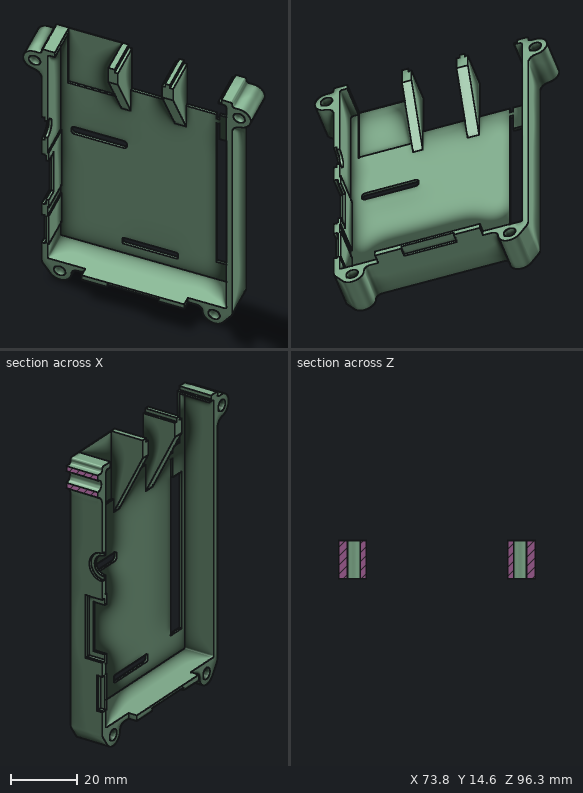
import cadquery as cq
import math


body_height = 90.5
body_depth = 11.55
half_width = 30.9
wall = 1.9
floor_thickness = 1.0
floor_front = body_depth - floor_thickness
inner_half_width = half_width - wall
cavity_top = body_height - wall
cavity_top_radius = 1.0
cavity_bottom_radius = 0.5

overall_width = 73.8
lug_radius = 3.8
screw_hole_diameter = 3.8
top_lug_x = overall_width / 2 - lug_radius
top_lug_drop = 5.7
top_lug_z = body_height - top_lug_drop
top_lug_lower_blend = 3.1
top_lug_upper_blend = 1.0
body_corner_radius = 0.7
bottom_lug_x = 25.0
bottom_lug_z = -2.0
bottom_lug_flank_angle = -35.0
flank_blend = 2.5

bay_left = -26.6
bay_right = -9.2
bay_bottom = 67.8
bay_skin = 0.2
left_rib_right = -6.2
right_rib_left = 8.1
right_rib_right = 11.7
gap_right = 26.4
gap_bottom = 72.2
rib_front_bottom = 84.4
rib_root_bottom = 63.3
lip_width = 1.1
lip_drop = 1.25

slot_length = 18.0
upper_slot_centre = (-16.5, 48.1)
upper_slot_width = 3.0
upper_slot_radius = 1.2
lower_slot_centre = (0.1, 7.0)
lower_slot_width = 2.5
lower_slot_radius = 0.6
window_left = 21.5
window_right = 27.3
window_bottom = 9.2
window_top = 62.0
relief_width = 1.1
relief_top = 68.4
relief_notch_bottom = 70.4

left_outside = -half_width
recess_depth = 1.0
pad_thickness = 0.4
bevel = 0.5
jack_z = 56.7
jack_recess_radius = 4.7
jack_hole_radius = 3.5
video_recess = (24.5, 45.7, 6.2)
video_hole = (26.8, 43.4, 4.2)
video_pad = (23.5, 47.0)
power_recess = (7.9, 19.8, 2.0)
power_pad = (7.9, 19.9)

tab_left = -16.7
tab_right = 16.6
tab_height = 3.0
tab_notch_left = -8.5
tab_notch_right = 8.3
tab_notch_depth = 1.0


def front_plane(y_back):
    """Sketch plane at y_back; local coordinates are X and Z, extrusion runs toward -Y."""
    return cq.Workplane("XZ", origin=(0, y_back, 0))


def block(x_range, y_range, z_range):
    """Box spanning the given (low, high) ranges."""
    low = (x_range[0], y_range[0], z_range[0])
    size = [r[1] - r[0] for r in (x_range, y_range, z_range)]
    return cq.Workplane("XY").box(*size, centered=False).translate(low)


def on_circle(centre, radius, degrees):
    angle = math.radians(degrees)
    return (centre[0] + radius * math.cos(angle), centre[1] + radius * math.sin(angle))


def body_with_lugs():
    """Full-depth body: the right half of the outline is drawn and mirrored about X = 0."""
    low = (bottom_lug_x, bottom_lug_z)
    high = (top_lug_x, top_lug_z)

    foot_radius = -bottom_lug_z
    foot_centre = (bottom_lug_x - lug_radius - foot_radius, bottom_lug_z)

    flank = math.radians(bottom_lug_flank_angle)
    blend_x = half_width - flank_blend
    across = (blend_x - bottom_lug_x) * math.cos(flank)
    blend_z = bottom_lug_z + (lug_radius - flank_blend - across) / math.sin(flank)
    blend_centre = (blend_x, blend_z)

    hollow_x = half_width + top_lug_lower_blend
    reach = lug_radius + top_lug_lower_blend
    hollow_z = top_lug_z - math.sqrt(reach**2 - (hollow_x - top_lug_x) ** 2)
    hollow_centre = (hollow_x, hollow_z)
    hollow_end = math.degrees(math.atan2(top_lug_z - hollow_z, top_lug_x - hollow_x))

    shoulder_z = top_lug_z + lug_radius
    shoulder_centre = (half_width + top_lug_upper_blend, shoulder_z + top_lug_upper_blend)
    corner_centre = (half_width - body_corner_radius, body_height - body_corner_radius)

    outline = (
        front_plane(body_depth)
        .moveTo(0, 0)
        .lineTo(foot_centre[0], 0)
        .threePointArc(on_circle(foot_centre, foot_radius, 45), on_circle(foot_centre, foot_radius, 0))
        .threePointArc(on_circle(low, lug_radius, -90), on_circle(low, lug_radius, bottom_lug_flank_angle))
        .lineTo(*on_circle(blend_centre, flank_blend, bottom_lug_flank_angle))
        .threePointArc(
            on_circle(blend_centre, flank_blend, bottom_lug_flank_angle / 2),
            on_circle(blend_centre, flank_blend, 0),
        )
        .lineTo(half_width, hollow_z)
        .threePointArc(
            on_circle(hollow_centre, top_lug_lower_blend, (180 + hollow_end) / 2),
            on_circle(hollow_centre, top_lug_lower_blend, hollow_end),
        )
        .threePointArc(on_circle(high, lug_radius, 0), on_circle(high, lug_radius, 90))
        .lineTo(shoulder_centre[0], shoulder_z)
        .threePointArc(
            on_circle(shoulder_centre, top_lug_upper_blend, 225),
            on_circle(shoulder_centre, top_lug_upper_blend, 180),
        )
        .lineTo(half_width, corner_centre[1])
        .threePointArc(
            on_circle(corner_centre, body_corner_radius, 45),
            on_circle(corner_centre, body_corner_radius, 90),
        )
        .lineTo(0, body_height)
        .mirrorY()
    )
    return outline.extrude(body_depth)


def screw_holes():
    centres = [
        (side * x, z) for side in (-1, 1) for x, z in ((top_lug_x, top_lug_z), (bottom_lug_x, bottom_lug_z))
    ]
    return front_plane(body_depth).pushPoints(centres).circle(screw_hole_diameter / 2).extrude(body_depth)


def cavity():
    x_range = (-inner_half_width, inner_half_width)
    pocket = block(x_range, (0, floor_front), (wall, cavity_top))
    pocket = pocket.edges("|Y and >Z").fillet(cavity_top_radius)
    return pocket.edges("|Y and <Z").fillet(cavity_bottom_radius)


def connector_gap():
    """Opens the top wall, thins the floor of the bay and removes the floor beside it."""
    top_opening = block((bay_left, gap_right), (0, floor_front), (gap_bottom, body_height))
    bay = block((bay_left, bay_right), (0, body_depth - bay_skin), (bay_bottom, body_height))
    floor_gap = block((left_rib_right, gap_right), (0, body_depth), (gap_bottom, body_height))
    return top_opening.union(bay).union(floor_gap)


def rib(left, right):
    """Upright rib whose front edge slopes back to the floor."""
    profile = [
        (0, body_height),
        (0, rib_front_bottom),
        (floor_front, rib_root_bottom),
        (body_depth, rib_root_bottom),
        (body_depth, body_height),
    ]
    return cq.Workplane("YZ", origin=(left, 0, 0)).polyline(profile).close().extrude(right - left)


def lip_steps():
    """Steps along the top edges that face the two open connector gaps."""
    steps = cq.Workplane("XY")
    for left in (left_rib_right - lip_width, right_rib_left, right_rib_right - lip_width, gap_right):
        step = block((left, left + lip_width), (0, body_depth), (body_height - lip_drop, body_height))
        steps = steps.add(step)
    return steps.combine()


def rounded_slot(centre, width, corner_radius):
    slot = front_plane(body_depth).center(*centre).rect(slot_length, width).extrude(floor_thickness)
    return slot.edges("|Y").fillet(corner_radius)


def floor_slots():
    """Two rounded slots, the long window and the narrow slits in line with its left edge."""
    upper = rounded_slot(upper_slot_centre, upper_slot_width, upper_slot_radius)
    lower = rounded_slot(lower_slot_centre, lower_slot_width, lower_slot_radius)
    floor = (floor_front, body_depth)
    relief = (window_left, window_left + relief_width)
    window = block((window_left, window_right), floor, (window_bottom, window_top))
    relief_slit = block(relief, floor, (window_bottom, relief_top))
    relief_notch = block(relief, floor, (relief_notch_bottom, gap_bottom))
    return upper.union(lower).union(window).union(relief_slit).union(relief_notch)


def wall_pads():
    """Thicker stretches on the inside of the left wall, behind the two sockets."""
    x_range = (-inner_half_width, -inner_half_width + pad_thickness)
    return block(x_range, (0, floor_front), video_pad).union(block(x_range, (0, floor_front), power_pad))


def socket_recess(z_low, z_high, depth_from_rim):
    """Rectangular pocket in the left wall, open at the rim, with a bevelled bottom."""
    straight = block((left_outside, left_outside + recess_depth), (0, depth_from_rim), (z_low, z_high))
    bevelled = (
        cq.Workplane("YZ", origin=(left_outside + recess_depth, 0, 0))
        .center(0, (z_low + z_high) / 2)
        .rect(2 * depth_from_rim, z_high - z_low)
        .workplane(offset=bevel)
        .rect(2 * (depth_from_rim - bevel), z_high - z_low - 2 * bevel)
        .loft()
    )
    return straight.union(bevelled)


def wall_openings():
    """Half-round jack hole, video socket opening and power socket recess."""
    through = wall + pad_thickness
    jack = cq.Workplane("YZ", origin=(left_outside, 0, jack_z))
    jack_recess = jack.circle(jack_recess_radius).extrude(recess_depth)
    jack_hole = jack.circle(jack_hole_radius).extrude(wall)
    z_low, z_high, depth = video_hole
    video_through = block((left_outside, left_outside + through), (0, depth), (z_low, z_high))
    return (
        jack_recess.union(jack_hole)
        .union(socket_recess(*video_recess))
        .union(video_through)
        .union(socket_recess(*power_recess))
    )


def locating_tab():
    tab = block((tab_left, tab_right), (-tab_height, 0), (0, wall))
    notch = block((tab_notch_left, tab_notch_right), (-tab_height, 0), (0, tab_notch_depth))
    return tab.cut(notch)


result = (
    body_with_lugs()
    .cut(screw_holes())
    .cut(cavity())
    .cut(connector_gap())
    .union(rib(bay_right, left_rib_right))
    .union(rib(right_rib_left, right_rib_right))
    .cut(lip_steps())
    .cut(floor_slots())
    .union(wall_pads())
    .cut(wall_openings())
    .union(locating_tab())
)